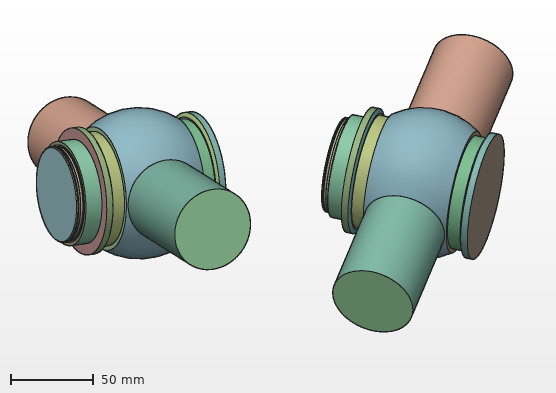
import cadquery as cq
import math

pipe_length = 210.0
pipe_radius = 25.5

ball_radius = 46.0
ball_half_width = 26.3
ball_flat_radius = math.sqrt(ball_radius**2 - ball_half_width**2)

neck_radius = 35.0
flange_radius = 38.9
flange_face = 40.0
flange_rim_width = 4.2
flange_bevel_width = 1.3
flange_bevel_radius = 36.1
flange_rim_inner = flange_face - flange_rim_width
flange_back = flange_rim_inner - flange_bevel_width

plug_radius = 32.0
plug_end = 50.6
lip_radius = 29.8
lip_end = 51.3
shoulder_radius = 29.0
shoulder_end = 52.7
groove_radius = 28.5
groove_end = 54.2
rim_radius = 29.5
rim_chamfer = 0.6
front_end = 55.5


def make_pipe():
    """Solid cylinder centred on the origin."""
    return cq.Workplane("YZ").circle(pipe_radius).extrude(pipe_length / 2, both=True)


def make_body():
    """Flanges, necks, ball and plug as one half section revolved about Y."""
    outline = (
        cq.Workplane("YZ")
        .moveTo(flange_face, 0)
        .lineTo(flange_face, flange_radius)
        .lineTo(flange_rim_inner, flange_radius)
        .lineTo(flange_back, flange_bevel_radius)
        .lineTo(flange_back, neck_radius)
        .lineTo(ball_half_width, neck_radius)
        .lineTo(ball_half_width, ball_flat_radius)
        .threePointArc((0, ball_radius), (-ball_half_width, ball_flat_radius))
        .lineTo(-ball_half_width, neck_radius)
        .lineTo(-flange_back, neck_radius)
        .lineTo(-flange_back, flange_bevel_radius)
        .lineTo(-flange_rim_inner, flange_radius)
        .lineTo(-flange_face, flange_radius)
        .lineTo(-flange_face, plug_radius)
        .lineTo(-plug_end, plug_radius)
        .lineTo(-plug_end, lip_radius)
        .lineTo(-lip_end, lip_radius)
        .lineTo(-lip_end, shoulder_radius)
        .lineTo(-shoulder_end, shoulder_radius)
        .lineTo(-shoulder_end, groove_radius)
        .lineTo(-groove_end, groove_radius)
        .lineTo(-groove_end, rim_radius)
        .lineTo(-front_end + rim_chamfer, rim_radius)
        .lineTo(-front_end, rim_radius - rim_chamfer)
        .lineTo(-front_end, 0)
        .close()
    )
    return outline.revolve(360, (0, 0, 0), (1, 0, 0))


result = make_body().union(make_pipe())